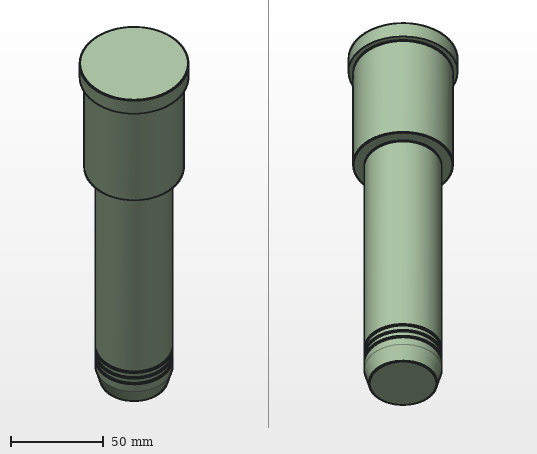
import cadquery as cq
import math

total_length = 231.0
head_height = 10.0
body_length = 66.0
taper_length = 10.0

head_diameter = 59.0
body_diameter = 54.0
shaft_diameter = 42.0

taper_angle = 15.0
edge_chamfer = 0.5

relief_width = 1.0
relief_depth = 0.5

lowest_groove_height = 15.5
groove_pitch = 4.2
groove_count = 3
groove_width = 1.0
groove_depth = 0.5

head_bottom = total_length - head_height
body_bottom = head_bottom - body_length


def cylinder(diameter, bottom, height):
    """Upright cylinder on the Z axis starting at the given bottom height."""
    return cq.Workplane("XY").workplane(offset=bottom).circle(diameter / 2).extrude(height)


def ring_groove(diameter, depth, bottom, width):
    """Ring of material to cut from a cylinder of the given diameter."""
    outer_radius = diameter / 2
    return (
        cq.Workplane("XY")
        .workplane(offset=bottom)
        .circle(outer_radius)
        .circle(outer_radius - depth)
        .extrude(width)
    )


tip_radius = shaft_diameter / 2 - taper_length * math.tan(math.radians(taper_angle))
tip = (
    cq.Workplane("XY")
    .circle(tip_radius)
    .workplane(offset=taper_length)
    .circle(shaft_diameter / 2)
    .loft(ruled=True)
    .faces("<Z")
    .chamfer(edge_chamfer)
)

shaft = cylinder(shaft_diameter, taper_length, body_bottom - taper_length)
body = cylinder(body_diameter, body_bottom, body_length).faces("<Z").chamfer(edge_chamfer)
head = cylinder(head_diameter, head_bottom, head_height).faces(">Z").chamfer(edge_chamfer)
result = tip.union(shaft).union(body).union(head)

for diameter, shoulder_height in ((body_diameter, head_bottom), (shaft_diameter, body_bottom)):
    relief_bottom = shoulder_height - relief_width
    result = result.cut(ring_groove(diameter, relief_depth, relief_bottom, relief_width))

for index in range(groove_count):
    groove_bottom = lowest_groove_height + index * groove_pitch - groove_width / 2
    result = result.cut(ring_groove(shaft_diameter, groove_depth, groove_bottom, groove_width))